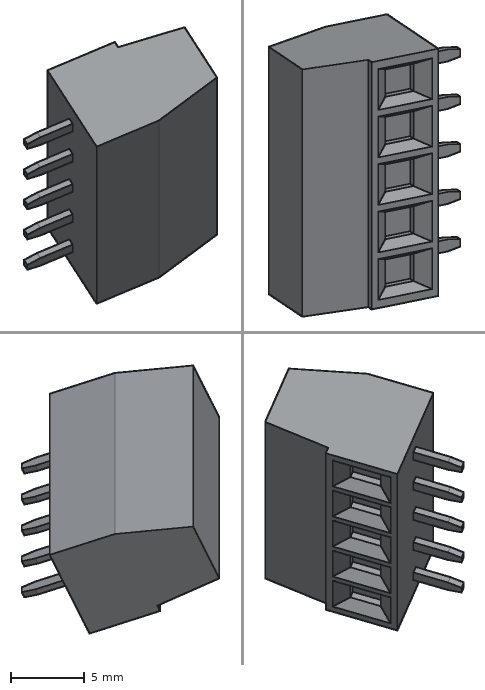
import cadquery as cq

HEIGHT = 18.2
WIDTH = 7.3
DEPTH = 10.01

STEP_Y = 5.2
STEP_WIDTH = 0.5
BACK_LEFT_X = 1.1
BACK_RIGHT_X = 5.9
RIGHT_SLOPE_Y = 4.8

CONTACT_COUNT = 5
PITCH = 3.5

MOUTH_HEIGHT = 3.0
MOUTH_LENGTH = 4.2
WELL_HEIGHT = 2.0
WELL_LENGTH = 2.2
FUNNEL_DEPTH = 0.8
WELL_DEPTH = 0.5
POCKET_Y = 2.6

PIN_X = 3.5
PIN_THICKNESS = 0.5
PIN_HEIGHT = 0.9
PIN_TIP_HEIGHT = 0.55
PIN_LENGTH = 3.5
PIN_TAPER_LENGTH = 1.0


def make_housing():
    outline = [
        (0, 0),
        (WIDTH, 0),
        (WIDTH, RIGHT_SLOPE_Y),
        (BACK_RIGHT_X, DEPTH),
        (BACK_LEFT_X, DEPTH),
        (STEP_WIDTH, STEP_Y),
        (0, STEP_Y),
    ]
    return cq.Workplane("XY").polyline(outline).close().extrude(HEIGHT)


def make_pocket(z):
    """Material removed for one wire entry, reaching inward along +X."""
    funnel = (
        cq.Workplane("YZ", origin=(0, POCKET_Y, z))
        .rect(MOUTH_LENGTH, MOUTH_HEIGHT)
        .workplane(offset=FUNNEL_DEPTH)
        .rect(WELL_LENGTH, WELL_HEIGHT)
        .loft(ruled=True)
    )
    well = (
        cq.Workplane("YZ", origin=(FUNNEL_DEPTH, POCKET_Y, z))
        .rect(WELL_LENGTH, WELL_HEIGHT)
        .extrude(WELL_DEPTH)
    )
    return funnel.union(well)


def make_pin(z):
    """One pin standing out of the Y = 0 face along -Y."""
    taper_start_y = PIN_TAPER_LENGTH - PIN_LENGTH
    outline = [
        (0, -PIN_HEIGHT / 2),
        (taper_start_y, -PIN_HEIGHT / 2),
        (-PIN_LENGTH, -PIN_TIP_HEIGHT / 2),
        (-PIN_LENGTH, PIN_TIP_HEIGHT / 2),
        (taper_start_y, PIN_HEIGHT / 2),
        (0, PIN_HEIGHT / 2),
    ]
    return (
        cq.Workplane("YZ", origin=(PIN_X, 0, z))
        .polyline(outline)
        .close()
        .extrude(PIN_THICKNESS / 2, both=True)
    )


result = make_housing()
for index in range(CONTACT_COUNT):
    contact_z = HEIGHT / 2 + (index - (CONTACT_COUNT - 1) / 2) * PITCH
    result = result.cut(make_pocket(contact_z)).union(make_pin(contact_z))